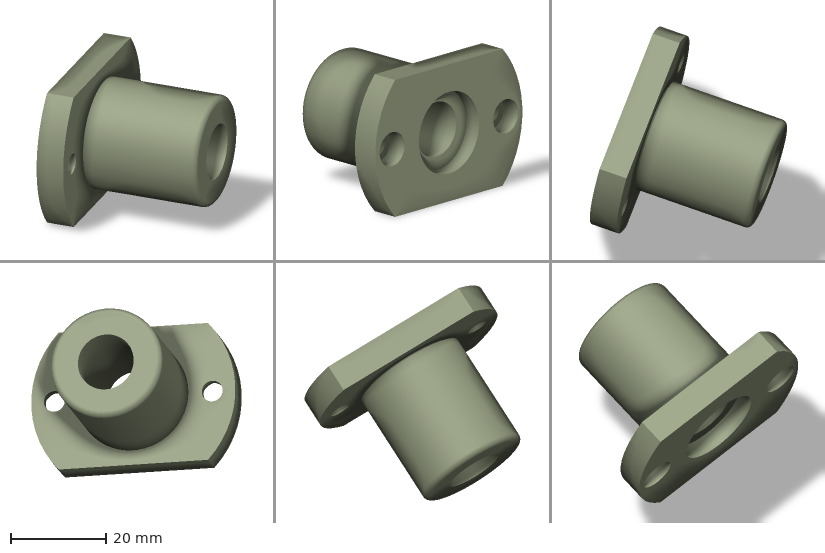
import cadquery as cq

flange_diameter = 44.0
flange_height = 30.0
flange_thickness = 6.05

total_length = 32.0
barrel_diameter = 24.0
barrel_end_radius = 1.2
groove_diameter = 21.6
groove_width = 0.5

bore_diameter = 12.0
bore_recess_diameter = 18.0
bore_recess_depth = 3.75

screw_spacing = 34.0
screw_diameter = 4.5
screw_head_diameter = 7.5
screw_head_depth = 4.3


def cylinder_along_x(diameter, start, length, y=0):
    return (
        cq.Workplane("YZ", origin=(start, y, 0))
        .circle(diameter / 2)
        .extrude(length)
    )


def make_flange():
    disc = cylinder_along_x(flange_diameter, 0, flange_thickness)
    flats = cq.Workplane("YZ").rect(flange_diameter, flange_height).extrude(flange_thickness)
    return disc.intersect(flats)


def make_barrel():
    barrel_start = flange_thickness + groove_width
    neck = cylinder_along_x(groove_diameter, flange_thickness, groove_width)
    barrel = cylinder_along_x(barrel_diameter, barrel_start, total_length - barrel_start)
    return neck.union(barrel.faces(">X").edges().fillet(barrel_end_radius))


def counterbored_hole(diameter, through_length, recess_diameter, recess_depth, y=0):
    hole = cylinder_along_x(diameter, 0, through_length, y)
    recess = cylinder_along_x(recess_diameter, 0, recess_depth, y)
    return hole.union(recess)


result = make_flange().union(make_barrel())
result = result.cut(
    counterbored_hole(bore_diameter, total_length, bore_recess_diameter, bore_recess_depth)
)
for side in (-1, 1):
    result = result.cut(
        counterbored_hole(
            screw_diameter,
            flange_thickness,
            screw_head_diameter,
            screw_head_depth,
            side * screw_spacing / 2,
        )
    )